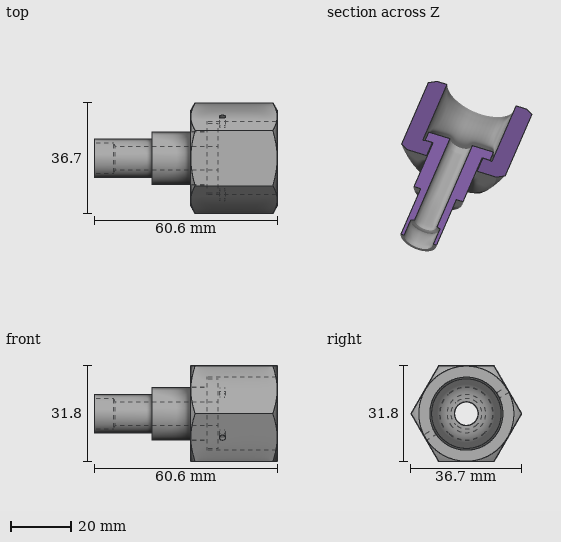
import cadquery as cq
import math

overall_length = 60.6
tube_length = 19.05
nut_start = 31.9
nut_shoulder_thickness = 5.45
head_start = nut_start + nut_shoulder_thickness

tube_diameter = 12.75
tube_bore_diameter = 10.2
collar_diameter = 17.45
head_diameter = 23.05
head_length = 3.65
through_bore_diameter = 7.75
bore_taper_start = 6.35
bore_taper_angle = 67.5

hex_sides = 6
across_flats = 31.8
corner_chamfer_angle = 30.0
end_face_diameter = 31.5
collar_clearance_diameter = 17.7
cavity_diameter = 24.25

vent_diameter = 2.0
vent_x = 42.45
vent_angles = (30.0, 210.0)


def revolve_about_x(profile):
    """Revolve an (X, radius) profile about the X axis."""
    return cq.Workplane("XY").polyline(profile).close().revolve(360, (0, 0, 0), (1, 0, 0))


def make_gland():
    """Tube, collar and head with a bore that tapers down inside the tube."""
    tube_radius = tube_diameter / 2
    tube_bore_radius = tube_bore_diameter / 2
    collar_radius = collar_diameter / 2
    head_radius = head_diameter / 2
    head_end = head_start + head_length
    bore_radius = through_bore_diameter / 2
    taper_length = (tube_bore_radius - bore_radius) / math.tan(math.radians(bore_taper_angle))
    return revolve_about_x([
        (0, tube_bore_radius),
        (0, tube_radius),
        (tube_length, tube_radius),
        (tube_length, collar_radius),
        (head_start, collar_radius),
        (head_start, head_radius),
        (head_end, head_radius),
        (head_end, bore_radius),
        (bore_taper_start + taper_length, bore_radius),
        (bore_taper_start, tube_bore_radius),
    ])


def make_hex_blank():
    """Hexagonal bar along X, with flats facing +Z and -Z and both ends coned off."""
    corner_radius = across_flats / 2 / math.cos(math.pi / hex_sides)
    end_radius = end_face_diameter / 2
    chamfer_length = (corner_radius - end_radius) * math.tan(math.radians(corner_chamfer_angle))
    bar = (
        cq.Workplane("YZ", origin=(nut_start, 0, 0))
        .polygon(hex_sides, 2 * corner_radius)
        .extrude(overall_length - nut_start)
    )
    envelope = revolve_about_x([
        (nut_start, 0),
        (nut_start, end_radius),
        (nut_start + chamfer_length, corner_radius),
        (overall_length - chamfer_length, corner_radius),
        (overall_length, end_radius),
        (overall_length, 0),
    ])
    return bar.intersect(envelope)


def make_nut_bore():
    """Clearance hole for the collar, opening behind the shoulder into a wider cavity."""
    clearance_radius = collar_clearance_diameter / 2
    cavity_radius = cavity_diameter / 2
    return revolve_about_x([
        (nut_start, 0),
        (nut_start, clearance_radius),
        (head_start, clearance_radius),
        (head_start, cavity_radius),
        (overall_length, cavity_radius),
        (overall_length, 0),
    ])


def make_vent(angle):
    """Drill running outward from the nut axis through one flat."""
    direction = cq.Vector(0, math.cos(math.radians(angle)), math.sin(math.radians(angle)))
    return cq.Solid.makeCylinder(vent_diameter / 2, across_flats, cq.Vector(vent_x, 0, 0), direction)


def make_nut():
    nut = make_hex_blank().cut(make_nut_bore())
    for angle in vent_angles:
        nut = nut.cut(cq.Workplane(make_vent(angle)))
    return nut


gland = make_gland()
nut = make_nut()

result = cq.Compound.makeCompound([gland.val(), nut.val()])